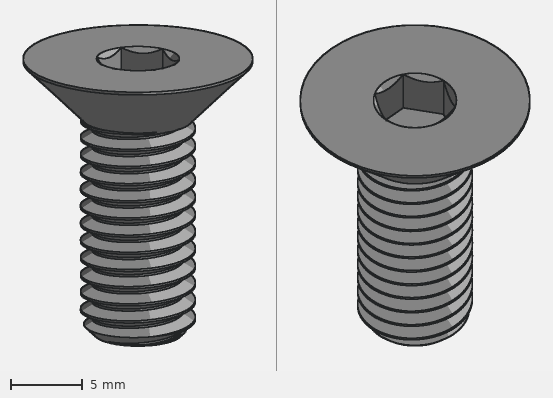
import cadquery as cq
import math

length = 20.0
head_radius = 8.0
rim_height = 0.2
head_underside_radius = 3.8

thread_radius = 4.0
root_radius = 6.38 / 2
pitch = 1.25
crest_width = pitch / 8
flank_slope = math.tan(math.radians(30))
crest_height_at_x = 1.0
root_overlap = 0.05
turns_below_crest = 2
ridge_turns = 15

point_radius = 3.05

socket_across_flats = 5.0
socket_depth = 3.1
socket_corner_radius = socket_across_flats / math.sqrt(3)

rim_bottom = length - rim_height
head_bottom = rim_bottom - (head_radius - head_underside_radius)


def make_head():
    return (
        cq.Workplane("XZ")
        .moveTo(0, head_bottom)
        .lineTo(head_underside_radius, head_bottom)
        .lineTo(head_radius, rim_bottom)
        .lineTo(head_radius, length)
        .lineTo(0, length)
        .close()
        .revolve(360, (0, 0, 0), (0, 1, 0))
    )


def make_thread_ridge():
    """Helical ridge that starts below the point and runs out inside the head."""
    start_height = crest_height_at_x - turns_below_crest * pitch
    inner_radius = root_radius - root_overlap
    half_crest = crest_width / 2
    half_base = half_crest + (thread_radius - inner_radius) * flank_slope
    helix = cq.Wire.makeHelix(pitch, ridge_turns * pitch, inner_radius)
    helix = helix.translate(cq.Vector(0, 0, start_height))
    return (
        cq.Workplane("XZ")
        .moveTo(inner_radius, start_height - half_base)
        .lineTo(thread_radius, start_height - half_crest)
        .lineTo(thread_radius, start_height + half_crest)
        .lineTo(inner_radius, start_height + half_base)
        .close()
        .sweep(cq.Workplane(helix), isFrenet=True)
    )


def make_shank():
    core = cq.Workplane("XY").circle(root_radius).extrude(rim_bottom)
    envelope_radius = head_radius
    envelope = (
        cq.Workplane("XZ")
        .lineTo(point_radius, 0)
        .lineTo(envelope_radius, envelope_radius - point_radius)
        .lineTo(envelope_radius, length)
        .lineTo(0, length)
        .close()
        .revolve(360, (0, 0, 0), (0, 1, 0))
    )
    return core.union(make_thread_ridge()).intersect(envelope)


def make_socket():
    hexagon = (
        cq.Workplane("XY", origin=(0, 0, length - socket_depth))
        .polygon(6, 2 * socket_corner_radius)
        .extrude(socket_depth)
        .rotate((0, 0, 0), (0, 0, 1), 30)
    )
    mouth = (
        cq.Workplane("XZ", origin=(0, 0, length))
        .lineTo(socket_corner_radius, 0)
        .lineTo(0, -socket_corner_radius)
        .close()
        .revolve(360, (0, 0, 0), (0, 1, 0))
    )
    return hexagon.union(mouth)


result = make_shank().union(make_head()).cut(make_socket())